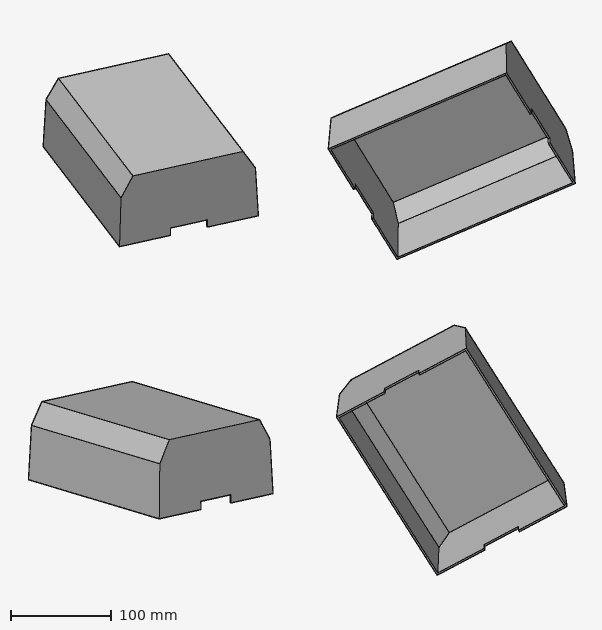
import cadquery as cq

length = 199.0
width = 149.0
height = 78.2
end_draft_angle = 1.9
shoulder_height = 56.0
shoulder_width = 144.2
top_width = 118.2
wall_thickness = 2.0
notch_width = 39.4
notch_height = 8.4

block = cq.Workplane("XY").rect(length, width).extrude(height, taper=end_draft_angle)

profile = (
    cq.Workplane("YZ")
    .polyline([
        (-width / 2, 0),
        (width / 2, 0),
        (shoulder_width / 2, shoulder_height),
        (top_width / 2, height),
        (-top_width / 2, height),
        (-shoulder_width / 2, shoulder_height),
    ])
    .close()
)
body = block.intersect(profile.extrude(length / 2, both=True))

cover = body.faces("<Z").shell(-wall_thickness)

notches = cq.Workplane("XY").box(length, notch_width, notch_height, centered=(True, True, False))

result = cover.cut(notches)